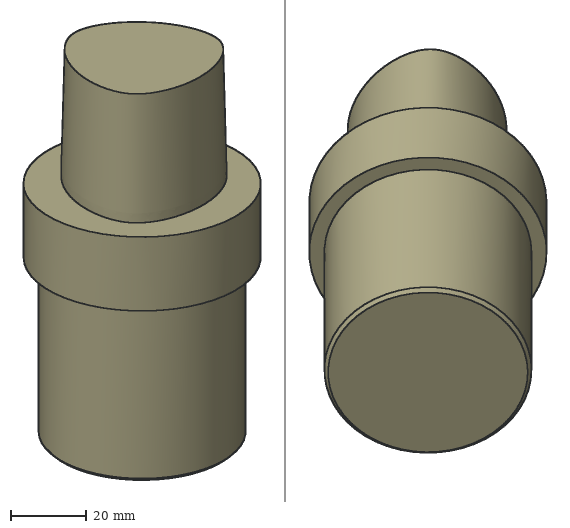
import cadquery as cq
import math

TOTAL_HEIGHT = 113.0
BODY_DIAMETER = 55.0
BODY_HEIGHT = 53.0
BODY_CHAMFER = 1.0
FLANGE_DIAMETER = 63.0
FLANGE_HEIGHT = 22.0

COLLAR_HEIGHT = 2.8
SHANK_WIDTH = 44.0
LOBE_OFFSET = 1.4
TAPER_RATIO = 1 / 20
POINTS_PER_LOBE = 12

FLANGE_TOP = BODY_HEIGHT + FLANGE_HEIGHT
COLLAR_TOP = FLANGE_TOP + COLLAR_HEIGHT
TAPER_HEIGHT = TOTAL_HEIGHT - COLLAR_TOP
TIP_WIDTH = SHANK_WIDTH - TAPER_HEIGHT * TAPER_RATIO


def lobed_outline(width, z):
    """Closed constant-width curve with three lobes, one pointing along +Y."""
    count = 3 * POINTS_PER_LOBE
    points = []
    for i in range(count):
        t = 2 * math.pi * i / count
        along = width / 2 * math.cos(t) + LOBE_OFFSET * (2 * math.cos(2 * t) - math.cos(4 * t))
        across = width / 2 * math.sin(t) - LOBE_OFFSET * (2 * math.sin(2 * t) + math.sin(4 * t))
        points.append(cq.Vector(-across, along, z))
    return cq.Wire.assembleEdges([cq.Edge.makeSpline(points, periodic=True)])


body = cq.Workplane("XY").circle(BODY_DIAMETER / 2).extrude(BODY_HEIGHT)
body = body.faces("<Z").chamfer(BODY_CHAMFER)

flange = (
    cq.Workplane("XY")
    .workplane(offset=BODY_HEIGHT)
    .circle(FLANGE_DIAMETER / 2)
    .extrude(FLANGE_HEIGHT)
)

collar_base = lobed_outline(SHANK_WIDTH, FLANGE_TOP)
collar = cq.Solid.extrudeLinear(collar_base, [], cq.Vector(0, 0, COLLAR_HEIGHT))

taper_base = lobed_outline(SHANK_WIDTH, COLLAR_TOP)
taper_end = lobed_outline(TIP_WIDTH, TOTAL_HEIGHT)
taper = cq.Solid.makeLoft([taper_base, taper_end], True)

result = body.union(flange).union(cq.Workplane(collar)).union(cq.Workplane(taper))